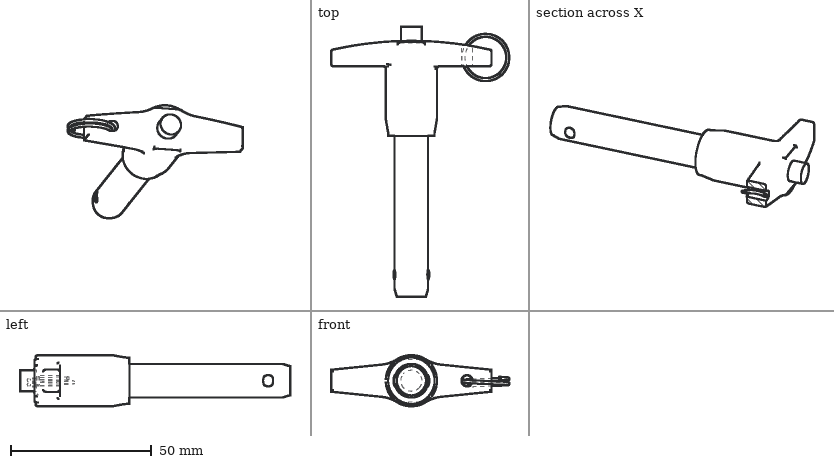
import cadquery as cq
import math


SHANK_DIAMETER = 12.0
SHANK_LENGTH = 57.2
TIP_DIAMETER = 10.4
TIP_LENGTH = 2.7
DOME_Y = 7.9
DOME_REACH = 6.4
DOME_SPHERE_RADIUS = 3.8
DOME_RADIUS = 2.0

BARREL_RADIUS = 9.1
BARREL_TOP_Y = 90.6
COLLAR_RADIUS = 8.3
COLLAR_LENGTH = 0.9
TAPER_LENGTH = 5.0

HALF_SPAN = 28.5
WING_BOTTOM_Y = 81.9
WING_CROWN_Y = 91.0
WING_END_Y = 87.8
ROOT_X = 10.6
ROOT_HALF_THICKNESS = 5.8
END_HALF_THICKNESS = 3.9
EDGE_ROUND = 0.9
SLACK = 0.1

BUTTON_RADIUS = 3.7
BUTTON_END_Y = 96.0
BUTTON_SEAT_Y = 90.3

WIRE_DIAMETER = 1.2
RING_RADIUS = 7.9
RING_X = 26.4
RING_Y = 85.1
RING_PITCH = 1.6
RING_BOTTOM_Z = -1.6
RING_BOTTOM_ANGLE = 138
RING_SWEEP = 548
RING_HOLE_X = 19.8
RING_HOLE_RADIUS = 1.9


def y_cylinder(radius, start_y, end_y, x=0):
    return (
        cq.Workplane("XZ", origin=(x, start_y, 0))
        .circle(radius)
        .extrude(start_y - end_y)
    )


def revolve_about_y(profile):
    return profile.close().revolve(360, (0, 0, 0), (0, 1, 0))


def make_dome(side):
    """Spherical cap on the +X (side = 1) or -X (side = -1) flank of the shank."""
    sphere_x = DOME_REACH - DOME_SPHERE_RADIUS
    rim_x = sphere_x + math.sqrt(DOME_SPHERE_RADIUS**2 - DOME_RADIUS**2)
    middle_angle = math.asin(DOME_RADIUS / DOME_SPHERE_RADIUS) / 2
    middle_x = sphere_x + DOME_SPHERE_RADIUS * math.cos(middle_angle)
    middle_radius = DOME_SPHERE_RADIUS * math.sin(middle_angle)
    dome = (
        cq.Workplane("XY", origin=(0, DOME_Y, 0))
        .moveTo(sphere_x, 0)
        .lineTo(sphere_x, DOME_RADIUS)
        .lineTo(rim_x, DOME_RADIUS)
        .threePointArc((middle_x, middle_radius), (DOME_REACH, 0))
        .close()
        .revolve(360, (0, 0, 0), (1, 0, 0))
    )
    return dome if side > 0 else dome.mirror("YZ")


def make_shank():
    shank = revolve_about_y(
        cq.Workplane("XY")
        .lineTo(TIP_DIAMETER / 2, 0)
        .lineTo(SHANK_DIAMETER / 2, TIP_LENGTH)
        .lineTo(SHANK_DIAMETER / 2, SHANK_LENGTH)
        .lineTo(0, SHANK_LENGTH)
    )
    for side in (1, -1):
        shank = shank.union(make_dome(side))
    return shank


def make_barrel():
    collar_top = SHANK_LENGTH + COLLAR_LENGTH
    barrel = revolve_about_y(
        cq.Workplane("XY")
        .moveTo(0, SHANK_LENGTH)
        .lineTo(COLLAR_RADIUS, SHANK_LENGTH)
        .lineTo(COLLAR_RADIUS, collar_top)
        .lineTo(BARREL_RADIUS, collar_top + TAPER_LENGTH)
        .lineTo(BARREL_RADIUS, BARREL_TOP_Y)
        .lineTo(0, BARREL_TOP_Y)
    )
    return barrel.faces(">Y").edges().fillet(EDGE_ROUND)


def root_arc():
    """Start, middle and end (x, z) of the arc tangent to the wing side and the barrel."""
    slope = math.atan2(ROOT_HALF_THICKNESS - END_HALF_THICKNESS, HALF_SPAN - ROOT_X)
    normal_x = math.sin(slope)
    normal_z = math.cos(slope)
    root_distance_squared = ROOT_X**2 + ROOT_HALF_THICKNESS**2
    root_along_normal = ROOT_X * normal_x + ROOT_HALF_THICKNESS * normal_z
    radius = (root_distance_squared - BARREL_RADIUS**2) / (2 * (BARREL_RADIUS - root_along_normal))
    center_x = ROOT_X + radius * normal_x
    center_z = ROOT_HALF_THICKNESS + radius * normal_z
    barrel_share = BARREL_RADIUS / (BARREL_RADIUS + radius)
    barrel_point = (center_x * barrel_share, center_z * barrel_share)
    start_angle = math.atan2(-normal_z, -normal_x)
    end_angle = math.atan2(-center_z, -center_x)
    middle_angle = (start_angle + end_angle) / 2
    middle = (
        center_x + radius * math.cos(middle_angle),
        center_z + radius * math.sin(middle_angle),
    )
    return (ROOT_X, ROOT_HALF_THICKNESS), middle, barrel_point


def edges_between(body, low_y, high_y):
    """Edges of the body, other than those along Y, that are centred between two heights."""
    reach = HALF_SPAN + SLACK
    slab = cq.selectors.BoxSelector(
        (-reach, low_y - SLACK, -reach),
        (reach, high_y + SLACK, reach),
    )
    return body.edges("not(|Y)").edges(slab)


def make_wings():
    root, middle, barrel_point = root_arc()

    def corner(point, x_sign, z_sign):
        return (x_sign * point[0], z_sign * point[1])

    end = (HALF_SPAN, END_HALF_THICKNESS)
    plan = cq.Workplane("XZ", origin=(0, WING_BOTTOM_Y, 0)).moveTo(*corner(end, -1, 1))
    for z_sign, left, right in ((1, -1, 1), (-1, 1, -1)):
        plan = (
            plan.lineTo(*corner(root, left, z_sign))
            .threePointArc(corner(middle, left, z_sign), corner(barrel_point, left, z_sign))
            .lineTo(*corner(barrel_point, right, z_sign))
            .threePointArc(corner(middle, right, z_sign), corner(root, right, z_sign))
            .lineTo(*corner(end, right, z_sign))
            .lineTo(*corner(end, right, -z_sign))
        )
    blank = plan.close().extrude(WING_BOTTOM_Y - WING_CROWN_Y)

    crowned = (
        cq.Workplane("XY")
        .moveTo(-HALF_SPAN, WING_BOTTOM_Y)
        .lineTo(HALF_SPAN, WING_BOTTOM_Y)
        .lineTo(HALF_SPAN, WING_END_Y)
        .threePointArc((0, WING_CROWN_Y), (-HALF_SPAN, WING_END_Y))
        .close()
        .extrude(BARREL_RADIUS, both=True)
    )
    wings = blank.intersect(crowned)
    return edges_between(wings, WING_END_Y - EDGE_ROUND, WING_CROWN_Y).fillet(EDGE_ROUND)


def make_handle():
    handle = make_barrel().union(make_wings())
    handle = edges_between(handle, WING_BOTTOM_Y, WING_BOTTOM_Y).fillet(EDGE_ROUND)
    ring_hole = y_cylinder(RING_HOLE_RADIUS, WING_BOTTOM_Y, WING_CROWN_Y, RING_HOLE_X)
    button_recess = y_cylinder(BUTTON_RADIUS, BUTTON_SEAT_Y, BUTTON_END_Y)
    return handle.cut(ring_hole).cut(button_recess)


def make_button():
    return y_cylinder(BUTTON_RADIUS, BUTTON_SEAT_Y, BUTTON_END_Y)


def make_ring():
    rise = RING_PITCH * RING_SWEEP / 360
    path = cq.Wire.makeHelix(RING_PITCH, rise, RING_RADIUS, lefthand=True)
    coil = (
        cq.Workplane("XZ")
        .center(RING_RADIUS, 0)
        .circle(WIRE_DIAMETER / 2)
        .sweep(path, isFrenet=True)
    )
    turned = coil.rotate((0, 0, 0), (0, 0, 1), RING_BOTTOM_ANGLE)
    return turned.translate((RING_X, RING_Y, RING_BOTTOM_Z))


shank = make_shank()
handle = make_handle()
button = make_button()
ring = make_ring()

result = cq.Compound.makeCompound([shank.val(), handle.val(), button.val(), ring.val()])